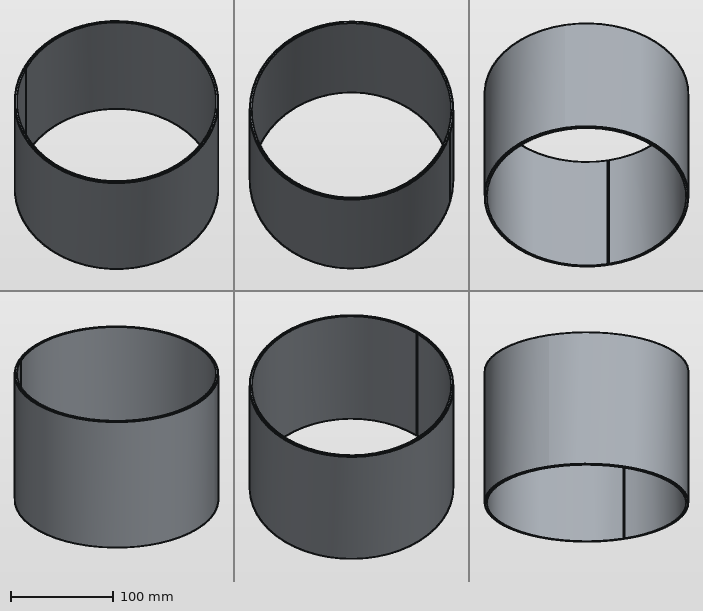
import cadquery as cq

outer_diameter = 200.0
height = 140.0
wall = 2.5
rim_chamfer = 0.5
slit_width = 1.5

outer_radius = outer_diameter / 2
inner_radius = outer_radius - wall

body = cq.Workplane("XY").circle(outer_radius).extrude(height).edges("%CIRCLE").chamfer(rim_chamfer)
bore = cq.Workplane("XY").circle(inner_radius).extrude(height)
sleeve = body.cut(bore)

slit_length = 4 * wall
slit = (
    cq.Workplane("XY")
    .box(slit_length, slit_width, height, centered=(True, False, False))
    .translate((-outer_radius, 0, 0))
)

result = sleeve.cut(slit)